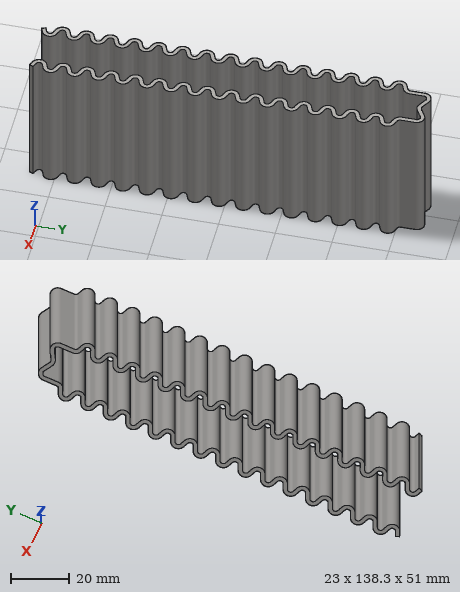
import cadquery as cq
import math

LENGTH = 138.3
WIDTH = 23.0
HEIGHT = 51.0
THICKNESS = 1.5
INNER_GAP = 11.9
WAVE_COUNT = 15
FIRST_CREST_DROP = 12.0
LAST_TROUGH_DROP = 135.2
BEND_RADIUS = 2.0
VALLEY_DEPTH = 2.2

HALF_PITCH = (LAST_TROUGH_DROP - FIRST_CREST_DROP) / (2 * WAVE_COUNT - 1)
CLOSED_END_Y = LENGTH / 2
OPEN_END_Y = -LENGTH / 2
FIRST_CREST_Y = CLOSED_END_Y - FIRST_CREST_DROP
CREST_CENTER_X = (WIDTH - THICKNESS) / 2 - BEND_RADIUS
WALL_X = (INNER_GAP + THICKNESS) / 2
TROUGH_CENTER_X = WALL_X + BEND_RADIUS
SHOULDER_TOP_Y = CLOSED_END_Y - THICKNESS / 2
SHOULDER_CENTER = (WALL_X - BEND_RADIUS, SHOULDER_TOP_Y - BEND_RADIUS)
VALLEY_BOTTOM_Y = SHOULDER_TOP_Y - VALLEY_DEPTH
VALLEY_CENTER = (0, VALLEY_BOTTOM_Y + BEND_RADIUS)


def crossing_tilt(run, rise):
    """Angle between the line joining two opposed bend centres and the straight flank between them."""
    return math.asin(2 * BEND_RADIUS / math.hypot(run, rise))


FLANK_RUN = CREST_CENTER_X - TROUGH_CENTER_X
FLANK_SLOPE = math.atan2(HALF_PITCH, FLANK_RUN) - crossing_tilt(FLANK_RUN, HALF_PITCH)
VALLEY_RUN = SHOULDER_CENTER[0] - VALLEY_CENTER[0]
VALLEY_RISE = SHOULDER_CENTER[1] - VALLEY_CENTER[1]
VALLEY_SLOPE = math.atan2(VALLEY_RISE, VALLEY_RUN) + crossing_tilt(VALLEY_RUN, VALLEY_RISE)

RIGHT_ANGLE = math.pi / 2
BEND_SWEEP = RIGHT_ANGLE - FLANK_SLOPE


def on_bend(center, angle):
    """Point on the centreline arc of a bend."""
    return (
        center[0] + BEND_RADIUS * math.cos(angle),
        center[1] + BEND_RADIUS * math.sin(angle),
    )


def add_arc(path, center, start, end):
    """Follow a bend from the current point, which lies at its start angle."""
    return path.threePointArc(on_bend(center, (start + end) / 2), on_bend(center, end))


def add_bend(path, center, start, end):
    """Run straight to the start of a bend, then follow its arc."""
    return add_arc(path.lineTo(*on_bend(center, start)), center, start, end)


def half_centreline():
    """Centreline of the +X half, from the middle of the dip to the open end of the leg."""
    path = cq.Workplane("XY").moveTo(0, VALLEY_BOTTOM_Y)
    path = add_arc(path, VALLEY_CENTER, -RIGHT_ANGLE, VALLEY_SLOPE - RIGHT_ANGLE)
    path = add_bend(path, SHOULDER_CENTER, RIGHT_ANGLE + VALLEY_SLOPE, 0)

    entry_center = (TROUGH_CENTER_X, FIRST_CREST_Y + HALF_PITCH)
    path = add_bend(path, entry_center, math.pi, math.pi + BEND_SWEEP)

    for wave in range(WAVE_COUNT):
        crest_y = FIRST_CREST_Y - 2 * wave * HALF_PITCH
        crest_center = (CREST_CENTER_X, crest_y)
        trough_center = (TROUGH_CENTER_X, crest_y - HALF_PITCH)
        path = add_bend(path, crest_center, BEND_SWEEP, -BEND_SWEEP)
        path = add_bend(path, trough_center, math.pi - BEND_SWEEP, math.pi + BEND_SWEEP)

    last_trough = (TROUGH_CENTER_X, CLOSED_END_Y - LAST_TROUGH_DROP)
    flank_x, flank_y = on_bend(last_trough, math.pi + BEND_SWEEP)
    tip_y = OPEN_END_Y + THICKNESS / 2 * math.cos(FLANK_SLOPE)
    tip_x = flank_x + (flank_y - tip_y) / math.tan(FLANK_SLOPE)
    return path.lineTo(tip_x, tip_y)


section = cq.Workplane("YZ").center(VALLEY_BOTTOM_Y, 0).rect(THICKNESS, HEIGHT)
half = section.sweep(half_centreline())
result = half.union(half.mirror("YZ")).clean().solids()